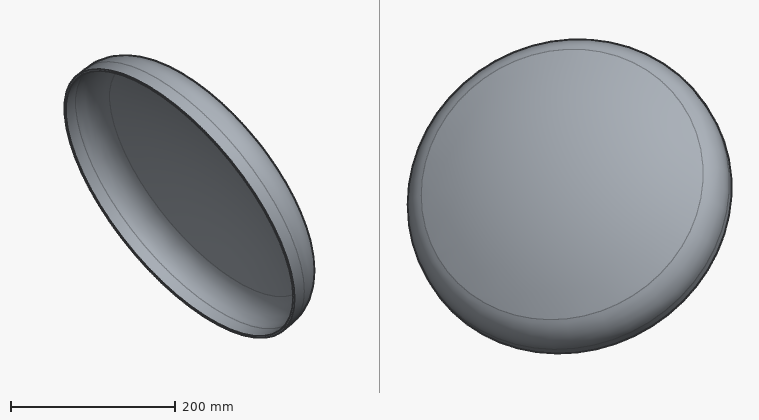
import cadquery as cq
import math

outer_diameter = 400.0
wall = 3.0
flange_length = 16.0
crown_radius = outer_diameter
knuckle_radius = 0.1 * outer_diameter

inner_radius = outer_diameter / 2 - wall

knuckle_centre_radius = inner_radius - knuckle_radius
centre_distance = crown_radius - knuckle_radius
joint_angle = math.asin(knuckle_centre_radius / centre_distance)
crown_centre_y = flange_length - centre_distance * math.cos(joint_angle)


def knuckle_point(radius, angle):
    """Point (distance from axis, Y) on a knuckle arc, angle measured from the Y axis."""
    return (
        knuckle_centre_radius + radius * math.sin(angle),
        flange_length + radius * math.cos(angle),
    )


def dished_solid(offset):
    """Solid filling the dish, with its inside surface moved outwards by offset."""
    rim_radius = inner_radius + offset
    knuckle = knuckle_radius + offset
    crown = crown_radius + offset
    knuckle_middle = knuckle_point(knuckle, (joint_angle + math.pi / 2) / 2)
    joint = knuckle_point(knuckle, joint_angle)

    cone_tip_y = joint[1] + joint[0] * math.tan(joint_angle)
    body = (
        cq.Workplane("XY")
        .lineTo(rim_radius, 0)
        .lineTo(rim_radius, flange_length)
        .threePointArc(knuckle_middle, joint)
        .lineTo(0, cone_tip_y)
        .close()
        .revolve(360, (0, 0, 0), (0, 1, 0))
    )

    sphere = cq.Workplane("XY").sphere(crown).translate((0, crown_centre_y, 0))
    return body.intersect(sphere)


result = dished_solid(wall).cut(dished_solid(0))